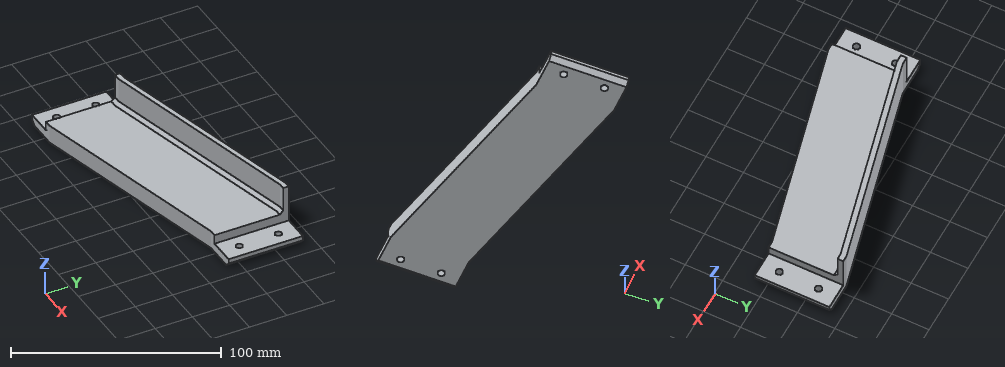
import cadquery as cq

length = 146.7
height = 25.0
width = 40.0
side_shift = 27.6

front_left_bend = 17.8
front_right_bend = length - 17.9
back_bend_offset = 0.5

floor_thickness = 10.0
wall_thickness = 3.1
corner_chamfer = 1.9

tab_length = 14.2
tab_thickness = 5.0
end_chamfer = 2.5

hole_diameter = 3.5
hole_inset = tab_length / 2
hole_spacing = 21.0


def cranked_line(y, bend_offset):
    """Points from the left end to the right end of a line that starts at the given Y."""
    return [
        (0, y),
        (front_left_bend + bend_offset, y),
        (front_right_bend + bend_offset, y + side_shift),
        (length, y + side_shift),
    ]


def make_block():
    front_line = cranked_line(0, 0)
    back_line = cranked_line(width, back_bend_offset)
    outline = front_line + back_line[::-1]
    return cq.Workplane("XY").polyline(outline).close().extrude(height)


def make_clearance(bottom):
    """Space in front of the wall, open at the front, from the given level upwards."""
    wall_line = cranked_line(width - wall_thickness, back_bend_offset)
    outline = wall_line + [(length, -width), (0, -width)]
    return cq.Workplane("XY", origin=(0, 0, bottom)).polyline(outline).close().extrude(height)


def make_corner_clearance():
    """Clearance whose front-to-back reach grows by the chamfer size over the chamfer height."""
    lower_line = cranked_line(width - wall_thickness - corner_chamfer, back_bend_offset)
    upper_line = cranked_line(width - wall_thickness, back_bend_offset)
    front = [(length, -width), (0, -width)]
    return (
        cq.Workplane("XY", origin=(0, 0, floor_thickness))
        .polyline(lower_line + front)
        .close()
        .workplane(offset=corner_chamfer)
        .polyline(upper_line + front)
        .close()
        .loft(ruled=True)
    )


def make_side_profile():
    """Silhouette along X, extruded through the whole depth: tabs, steps and end chamfers."""
    outline = [
        (end_chamfer, 0),
        (length - end_chamfer, 0),
        (length, end_chamfer),
        (length, tab_thickness),
        (length - tab_length, tab_thickness),
        (length - tab_length, height),
        (tab_length, height),
        (tab_length, tab_thickness),
        (0, tab_thickness),
        (0, end_chamfer),
    ]
    return cq.Workplane("XZ").polyline(outline).close().extrude(-(width + side_shift))


def make_holes():
    front_y = (width - hole_spacing) / 2
    left_x = hole_inset
    right_x = length - hole_inset
    centers = []
    for x, y in [(left_x, front_y), (right_x, front_y + side_shift)]:
        centers += [(x, y), (x, y + hole_spacing)]
    return cq.Workplane("XY").pushPoints(centers).circle(hole_diameter / 2).extrude(tab_thickness)


result = (
    make_block()
    .cut(make_corner_clearance())
    .cut(make_clearance(floor_thickness + corner_chamfer))
    .intersect(make_side_profile())
    .cut(make_holes())
)